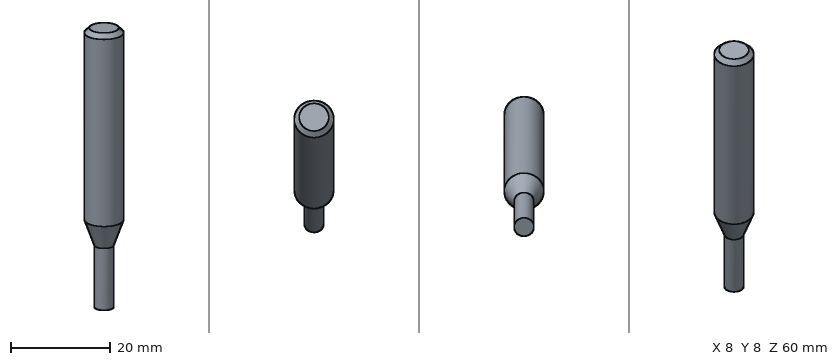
import cadquery as cq

total_length = 60.0
shank_diameter = 8.0
neck_diameter = 4.0
neck_length = 13.3
taper_length = 5.45

bevel_width = 1.0
bevel_height = 1.0

shank_radius = shank_diameter / 2
neck_radius = neck_diameter / 2
shank_start = neck_length + taper_length
bevel_start = total_length - bevel_height

half_profile = (
    cq.Workplane("XZ")
    .moveTo(0, 0)
    .lineTo(neck_radius, 0)
    .lineTo(neck_radius, neck_length)
    .lineTo(shank_radius, shank_start)
    .lineTo(shank_radius, bevel_start)
    .lineTo(shank_radius - bevel_width, total_length)
    .lineTo(0, total_length)
    .close()
)

result = half_profile.revolve(360, (0, 0, 0), (0, 1, 0))